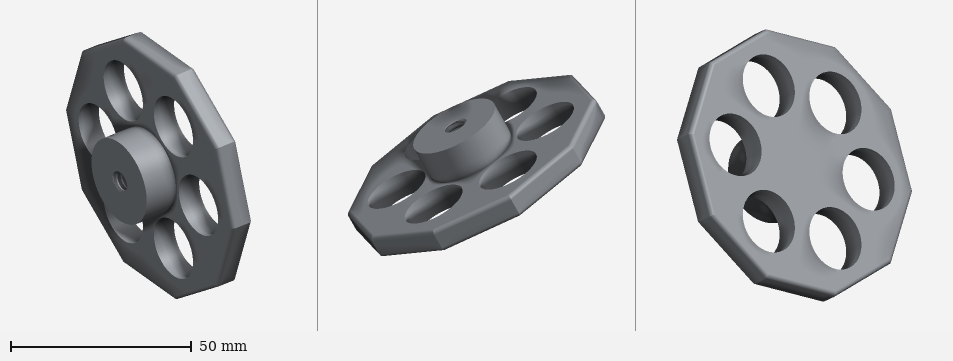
import cadquery as cq
import math

SIDES = 10
CORNER_DIAMETER = 77.3
PLATE_THICKNESS = 7.0
EDGE_RADIUS = 1.2
HUB_DIAMETER = 25.4
OVERALL_DEPTH = 17.15
HUB_LENGTH = OVERALL_DEPTH - PLATE_THICKNESS

OPENING_COUNT = 6
OPENING_DIAMETER = 18.0
OPENING_CIRCLE_DIAMETER = 46.05

INSERT_DIAMETER = 7.95
BORE_DIAMETER = 5.9
INSERT_LENGTH = HUB_LENGTH
THREAD_PITCH = 1.5
THREAD_DEPTH = 0.9
THREAD_ANGLE = 60.0
BORE_OVERLAP = 0.15


def axial_plane(distance):
    """Plane facing -Y, at a distance toward -Y from the back of the plate."""
    return cq.Workplane("XZ", origin=(0, -distance, 0))


def make_wheel():
    plate = (
        axial_plane(0)
        .polygon(SIDES, CORNER_DIAMETER)
        .extrude(PLATE_THICKNESS)
        .faces("<Y or >Y")
        .edges()
        .fillet(EDGE_RADIUS)
    )
    openings = (
        axial_plane(0)
        .polarArray(OPENING_CIRCLE_DIAMETER / 2, 0, 360, OPENING_COUNT)
        .circle(OPENING_DIAMETER / 2)
        .extrude(PLATE_THICKNESS)
    )
    hub = axial_plane(PLATE_THICKNESS).circle(HUB_DIAMETER / 2).extrude(HUB_LENGTH)
    insert_seat = (
        axial_plane(OVERALL_DEPTH - INSERT_LENGTH).circle(INSERT_DIAMETER / 2).extrude(INSERT_LENGTH)
    )
    return plate.cut(openings).union(hub).cut(insert_seat)


def make_thread_groove():
    """Right-hand V groove around local Z, running past both ends of the insert.

    It is deepest toward +X where it crosses the end of the insert.
    """
    turns = math.ceil(INSERT_LENGTH / THREAD_PITCH) + 2
    start = INSERT_LENGTH - (turns - 1) * THREAD_PITCH
    inner_radius = BORE_DIAMETER / 2 - BORE_OVERLAP
    root_radius = BORE_DIAMETER / 2 + THREAD_DEPTH
    half_width = (root_radius - inner_radius) * math.tan(math.radians(THREAD_ANGLE / 2))
    helix = cq.Wire.makeHelix(THREAD_PITCH, turns * THREAD_PITCH, inner_radius)
    return (
        cq.Workplane("XZ")
        .moveTo(inner_radius, -half_width)
        .lineTo(root_radius, 0)
        .lineTo(inner_radius, half_width)
        .close()
        .sweep(cq.Workplane(helix), isFrenet=True)
        .translate((0, 0, start))
    )


def make_insert():
    base = cq.Workplane(cq.Plane(origin=(0, 0, 0), xDir=(0, 1, 0), normal=(0, 0, 1)))
    rod = base.circle(INSERT_DIAMETER / 2).extrude(INSERT_LENGTH)
    bore = base.circle(BORE_DIAMETER / 2).extrude(INSERT_LENGTH)
    threaded_sleeve = rod.cut(make_thread_groove()).cut(bore)
    return threaded_sleeve.rotate((0, 0, 0), (1, 0, 0), 90).translate(
        (0, INSERT_LENGTH - OVERALL_DEPTH, 0)
    )


wheel = make_wheel()
insert = make_insert()

result = cq.Compound.makeCompound([wheel.val(), *insert.vals()])